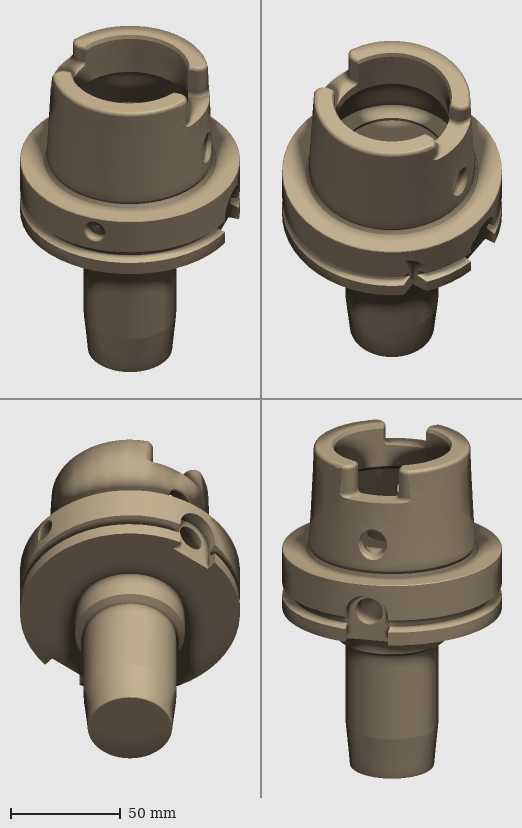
import cadquery as cq
import math

total_height = 154.9
flange_bottom = 76.0
flange_top = 105.2

shank_end_radius = 19.2
shank_end_chamfer = 0.3
shank_radius = 21.0
shank_taper_height = 19.8
collar_radius = 25.0
collar_cone_bottom = 60.3
collar_cone_top = 62.6

flange_radius = 50.0
flange_chamfer = 0.3
groove_radius = 45.9
groove_middle = 85.2
groove_outer_width = 5.9
groove_inner_width = 3.1

taper_slope = 1 / 20
taper_foot_radius = 38.0
taper_foot = 107.5
relief_radius = 37.2
relief_height = 106.0
face_groove_radius = 39.3
face_groove_depth = 0.3
rim_fillet = 1.9

mouth_radius = 26.5
mouth_chamfer_width = 0.8
mouth_chamfer_height = 1.7
undercut_top = 134.9
undercut_radius = 32.8
undercut_shoulder_angle = 30
cavity_floor = 113.7
recess_radius = 24.8
recess_depth = 1.5
tube_bore_radius = 11.3
tube_bore_depth = 12.4
coolant_radius = 1.7
coolant_chamfer = 0.5
coolant_depth = 12.4

drive_half_width = 9.9
drive_corner_radius = 5.0
drive_outer_x = 32.2
drive_floor_fillet = 2.0
left_drive_floor = 145.0
right_drive_floor = 139.9

cross_hole_radius = 6.4
cross_hole_height = 120.2
countersink = 1.0

keyway_half_width = 9.99
keyway_top = 99.6
keyway_floor_x = 44.0
notch_floor_x = 31.3
notch_center_y = 41.4
keyway_hole_radius = 6.4
keyway_hole_height = 90.0
keyway_hole_depth = 12.4
drill_tip_angle = 118

pocket_radius = 4.8
pocket_chamfer = 0.6
pocket_height = 97.9
pocket_depth = 5.0
pocket_center_radius = 0.8
pocket_center_depth = 0.8


def taper_radius(height):
    return taper_foot_radius - (height - taper_foot) * taper_slope


def revolved(points):
    return cq.Workplane("XZ").polyline(points).close().revolve(360, (0, 0, 0), (0, 1, 0))


def make_body():
    return revolved([
        (0, 0),
        (shank_end_radius - shank_end_chamfer, 0),
        (shank_end_radius, shank_end_chamfer),
        (shank_radius, shank_taper_height),
        (shank_radius, collar_cone_bottom),
        (collar_radius, collar_cone_top),
        (collar_radius, flange_bottom),
        (flange_radius, flange_bottom),
        (flange_radius, groove_middle - groove_outer_width / 2),
        (groove_radius, groove_middle - groove_inner_width / 2),
        (groove_radius, groove_middle + groove_inner_width / 2),
        (flange_radius, groove_middle + groove_outer_width / 2),
        (flange_radius, flange_top - flange_chamfer),
        (flange_radius - flange_chamfer, flange_top),
        (face_groove_radius, flange_top),
        (face_groove_radius - face_groove_depth, flange_top - face_groove_depth),
        (relief_radius, relief_height),
        (taper_foot_radius, taper_foot),
        (taper_radius(total_height), total_height),
        (0, total_height),
    ])


def make_cavity():
    recess_floor = cavity_floor - recess_depth
    tube_bore_floor = recess_floor - tube_bore_depth
    coolant_floor = tube_bore_floor - coolant_depth
    shoulder_drop = (undercut_radius - mouth_radius) * math.tan(math.radians(undercut_shoulder_angle))
    return revolved([
        (0, total_height),
        (mouth_radius + mouth_chamfer_width, total_height),
        (mouth_radius, total_height - mouth_chamfer_height),
        (mouth_radius, undercut_top),
        (undercut_radius, undercut_top - shoulder_drop),
        (undercut_radius, cavity_floor),
        (recess_radius, cavity_floor),
        (recess_radius, recess_floor),
        (tube_bore_radius, recess_floor),
        (tube_bore_radius, tube_bore_floor),
        (coolant_radius + coolant_chamfer, tube_bore_floor),
        (coolant_radius, tube_bore_floor - coolant_chamfer),
        (coolant_radius, coolant_floor),
        (0, coolant_floor),
    ])


def make_drive_slot(floor, side):
    """Slot opening outward on the given X side, its walls rounding out to a flat across X."""
    bend_x = drive_outer_x - drive_corner_radius
    bend_y = drive_half_width + drive_corner_radius
    reach = flange_radius
    slot = (
        cq.Workplane("XY", origin=(0, 0, floor))
        .moveTo(0, -drive_half_width)
        .lineTo(side * bend_x, -drive_half_width)
        .radiusArc((side * drive_outer_x, -bend_y), side * drive_corner_radius)
        .lineTo(side * drive_outer_x, -reach)
        .lineTo(side * reach, -reach)
        .lineTo(side * reach, reach)
        .lineTo(side * drive_outer_x, reach)
        .lineTo(side * drive_outer_x, bend_y)
        .radiusArc((side * bend_x, drive_half_width), side * drive_corner_radius)
        .lineTo(0, drive_half_width)
        .close()
        .extrude(total_height - floor)
    )
    walls = cq.selectors.BoxSelector(
        (side * 1.5, -reach + 1.5, floor - 1.5), (side * (reach - 1.5), reach - 1.5, floor + 1.5)
    )
    return slot.edges(walls).fillet(drive_floor_fillet)


def make_cross_hole():
    """Through hole along X, countersunk where it leaves the taper on each side."""
    reach = taper_foot_radius
    surface = taper_radius(cross_hole_height)
    outer_radius = cross_hole_radius + countersink + reach - surface
    inner_x = surface - countersink
    half = [
        (0, 0),
        (0, cross_hole_radius),
        (inner_x, cross_hole_radius),
        (reach, outer_radius),
        (reach, 0),
    ]
    right = cq.Workplane("XZ").polyline(half).close().revolve(360, (0, 0, 0), (1, 0, 0))
    return right.union(right.mirror("YZ")).translate((0, 0, cross_hole_height))


def make_arched_slot(center_y, floor_x):
    """Round-topped slot milled along +X, from a floor at floor_x out past the flange."""
    arch_center = keyway_top - keyway_half_width
    return (
        cq.Workplane("YZ", origin=(floor_x, 0, 0))
        .moveTo(center_y - keyway_half_width, flange_bottom)
        .lineTo(center_y - keyway_half_width, arch_center)
        .threePointArc((center_y, keyway_top), (center_y + keyway_half_width, arch_center))
        .lineTo(center_y + keyway_half_width, flange_bottom)
        .close()
        .extrude(flange_radius)
    )


def make_keyway():
    """Keyway on the +X side, with a drilled hole in its floor."""
    tip_depth = keyway_hole_radius / math.tan(math.radians(drill_tip_angle / 2))
    hole_end = keyway_floor_x - keyway_hole_depth
    hole = (
        cq.Workplane("XZ")
        .polyline([
            (keyway_floor_x, 0),
            (keyway_floor_x, keyway_hole_radius),
            (hole_end, keyway_hole_radius),
            (hole_end - tip_depth, 0),
        ])
        .close()
        .revolve(360, (0, 0, 0), (1, 0, 0))
        .translate((0, 0, keyway_hole_height))
    )
    return make_arched_slot(0, keyway_floor_x).union(hole)


def make_pocket():
    """Chamfered round pocket along Y, with a small center mark in its floor."""
    floor_y = flange_radius - pocket_depth
    mark_y = floor_y - pocket_center_depth
    return (
        cq.Workplane("XY")
        .polyline([
            (0, -mark_y),
            (pocket_center_radius, -mark_y),
            (pocket_center_radius, -floor_y),
            (pocket_radius, -floor_y),
            (pocket_radius, pocket_chamfer - flange_radius),
            (pocket_radius + pocket_chamfer, -flange_radius),
            (0, -flange_radius),
        ])
        .close()
        .revolve(360, (0, 0, 0), (0, 1, 0))
        .translate((0, 0, pocket_height))
    )


result = make_body()
result = result.cut(make_drive_slot(left_drive_floor, -1))
result = result.cut(make_drive_slot(right_drive_floor, 1))
result = result.faces(">Z").edges().fillet(rim_fillet)
result = result.cut(make_cavity())
result = result.cut(make_cross_hole())

keyway = make_keyway()
result = result.cut(keyway)
result = result.cut(keyway.mirror("YZ"))
result = result.cut(make_arched_slot(notch_center_y, notch_floor_x).mirror("YZ"))
result = result.cut(make_pocket())